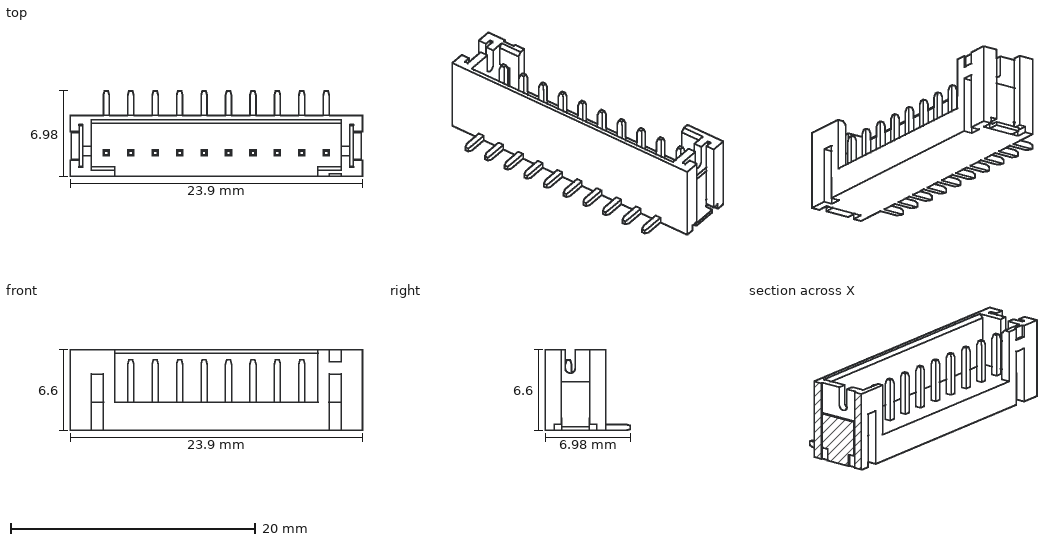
import cadquery as cq

length = 23.95
depth = 4.98
height = 6.6
half_length = length / 2
mid_depth = depth / 2

cavity_length = 20.5
floor_height = 2.3
front_wall = 0.8
back_wall = 0.65
lead_in = 0.29
window_length = 16.62

slot_width = 1.0
slot_height = 4.62
mark_height = 0.98
mark_depth = 0.2

recess_width = 2.32
clip_slot_width = 3.47
clip_slot_inset = 0.75
foot_notch_height = 0.5
groove_width = 0.8
groove_bottom = 4.7
groove_y = 2.05

clip_thickness = 0.29
clip_height = 4.0
clip_side_gap = 0.05
clip_width = clip_slot_width - 2 * clip_side_gap
foot_width = recess_width - 2 * clip_side_gap
foot_inset = 0.1
neck_height = 1.0
bend_radius = 0.07

pin_count = 10
pin_row_length = 18.0
pin_size = 0.5
pin_tip_size = 0.3
pin_tip_length = 0.35
pin_y = 1.92
pin_top = 5.77
tail_length = 2.0

cavity_end = cavity_length / 2
cavity_back = depth - back_wall
window_end = window_length / 2
clip_outer = half_length - clip_slot_inset
clip_inner = clip_outer - clip_thickness
pin_pitch = pin_row_length / (pin_count - 1)
first_pin_x = -pin_row_length / 2


def box(x_range, y_range, z_range):
    """Box between the given limits along each axis."""
    (x0, x1), (y0, y1), (z0, z1) = x_range, y_range, z_range
    return cq.Workplane("XY").box(x1 - x0, y1 - y0, z1 - z0, centered=False).translate((x0, y0, z0))


def centred(middle, width):
    """Limits of a width centred on a position."""
    return (middle - width / 2, middle + width / 2)


def mirrored(body):
    """The same body at the opposite end of the housing."""
    return body.mirror("YZ")


def cavity():
    """Plug space, widened at the top by the lead-in bevels, with the front window."""
    profile = [
        (front_wall, floor_height),
        (cavity_back, floor_height),
        (cavity_back, height - lead_in),
        (cavity_back + lead_in, height),
        (front_wall - lead_in, height),
        (front_wall, height - lead_in),
    ]
    plug_space = cq.Workplane("YZ").polyline(profile).close().extrude(cavity_end, both=True)
    window = box((-window_end, window_end), (0, front_wall), (floor_height, height))
    return plug_space.union(window)


def front_slot():
    """Slot through the front wall at the +X end of the cavity, open at the base."""
    return box((cavity_end - slot_width, cavity_end), (0, front_wall), (0, slot_height))


def first_pin_mark():
    """Shallow notch in the top edge of the front face, above the +X slot."""
    return box((cavity_end - slot_width, cavity_end), (0, mark_depth), (height - mark_height, height))


def end_cuts():
    """Side recess, clip slot, foot notch and round-bottomed groove of the +X end."""
    recess = box((clip_inner, half_length), centred(mid_depth, recess_width), (0, height))
    clip_slot = box((clip_inner, clip_outer), centred(mid_depth, clip_slot_width), (0, height))
    foot_notch = box((clip_inner, half_length), centred(mid_depth, clip_slot_width), (0, foot_notch_height))
    groove_radius = groove_width / 2
    groove_centre = groove_bottom + groove_radius
    groove = box((cavity_end, clip_inner), centred(groove_y, groove_width), (groove_centre, height))
    groove_floor = (
        cq.Workplane("YZ", origin=(cavity_end, groove_y, groove_centre))
        .circle(groove_radius)
        .extrude(clip_inner - cavity_end)
    )
    return recess.union(clip_slot).union(foot_notch).union(groove).union(groove_floor)


def prong(base_plane, prong_length):
    """Square pin standing on a plane, with a tapered tip."""
    shank_length = prong_length - pin_tip_length
    shank = cq.Workplane(base_plane).rect(pin_size, pin_size).extrude(shank_length)
    tip = (
        shank.faces(cq.selectors.DirectionMinMaxSelector(base_plane.zDir, True))
        .workplane(centerOption="CenterOfMass")
        .rect(pin_size, pin_size)
        .workplane(offset=pin_tip_length)
        .rect(pin_tip_size, pin_tip_size)
        .loft(combine=False)
    )
    return shank.union(tip)


def pin(x):
    """Upright contact in the cavity and its solder tail behind the housing."""
    contact = prong(cq.Plane((x, pin_y, floor_height), (1, 0, 0), (0, 0, 1)), pin_top - floor_height)
    tail = prong(cq.Plane((x, depth, pin_size / 2), (1, 0, 0), (0, 1, 0)), tail_length)
    return contact, tail


def make_housing():
    """Housing block with its contact pins."""
    body = box((-half_length, half_length), (0, depth), (0, height)).cut(cavity()).cut(first_pin_mark())
    for cutter in (front_slot(), end_cuts()):
        body = body.cut(cutter).cut(mirrored(cutter))
    for i in range(pin_count):
        contact, tail = pin(first_pin_x + i * pin_pitch)
        body = body.union(contact).union(tail)
    return body


def make_clip():
    """L-shaped solder clip of the +X end: plate in the slot, foot pointing outwards."""
    plate = box((clip_inner, clip_outer), centred(mid_depth, clip_width), (neck_height, clip_height))
    toe = half_length - foot_inset
    ell = [
        (clip_inner, 0),
        (toe, 0),
        (toe, clip_thickness),
        (clip_outer, clip_thickness),
        (clip_outer, neck_height),
        (clip_inner, neck_height),
    ]
    foot = (
        cq.Workplane("XZ", origin=(0, mid_depth, 0))
        .polyline(ell)
        .close()
        .extrude(foot_width / 2, both=True)
    )
    bend = cq.selectors.NearestToPointSelector((clip_outer, mid_depth, clip_thickness))
    foot = foot.edges("|Y").edges(bend).fillet(bend_radius)
    return plate.union(foot)


housing = make_housing()
clips = cq.Workplane("XY")
for clip in (make_clip(), mirrored(make_clip())):
    clips = clips.add(clip.solids())

result = cq.Compound.makeCompound([*housing.solids().vals(), *clips.solids().vals()])